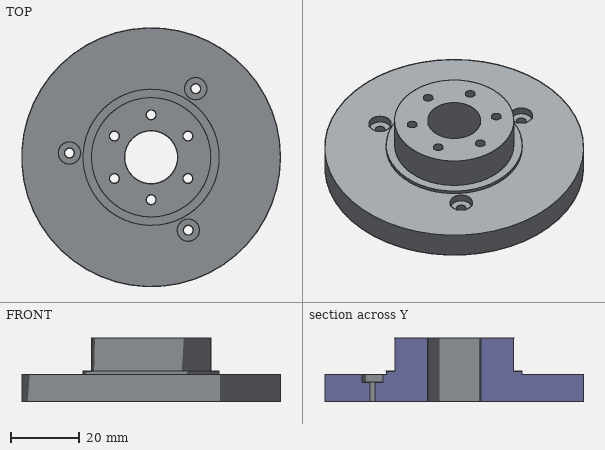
import cadquery as cq

flange_diameter = 76.0
flange_thickness = 8.0
shoulder_diameter = 40.0
shoulder_height = 1.0
hub_diameter = 35.0
total_height = 18.7
bore_diameter = 15.5

hub_hole_count = 6
hub_hole_circle_radius = 12.5
hub_hole_start_angle = 30.0

flange_hole_count = 3
flange_hole_circle_radius = 24.0
flange_hole_start_angle = 57.0
counterbore_diameter = 6.5
counterbore_depth = 2.3

screw_hole_diameter = 2.8

shoulder_top = flange_thickness + shoulder_height


def cylinder(diameter, height):
    """Solid cylinder standing on the base plane."""
    return cq.Workplane("XY").circle(diameter / 2).extrude(height)


def cylinder_ring(radius, start_angle, count, diameter, bottom, height):
    """Equally spaced cylinders on a circle about the part axis."""
    return (
        cq.Workplane("XY", origin=(0, 0, bottom))
        .polarArray(radius, start_angle, 360, count)
        .circle(diameter / 2)
        .extrude(height)
    )


body = (
    cylinder(flange_diameter, flange_thickness)
    .union(cylinder(shoulder_diameter, shoulder_top))
    .union(cylinder(hub_diameter, total_height))
)

bore = cylinder(bore_diameter, total_height)

hub_holes = cylinder_ring(
    hub_hole_circle_radius, hub_hole_start_angle, hub_hole_count,
    screw_hole_diameter, 0, total_height,
)

flange_holes = cylinder_ring(
    flange_hole_circle_radius, flange_hole_start_angle, flange_hole_count,
    screw_hole_diameter, 0, flange_thickness,
)

counterbores = cylinder_ring(
    flange_hole_circle_radius, flange_hole_start_angle, flange_hole_count,
    counterbore_diameter, flange_thickness - counterbore_depth, counterbore_depth,
)

result = body.cut(bore).cut(hub_holes).cut(flange_holes).cut(counterbores)